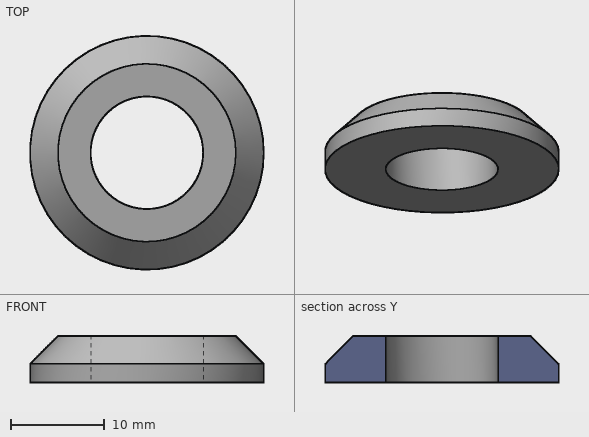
import cadquery as cq

outer_diameter = 25.0
hole_diameter = 12.0
thickness = 5.0
bevel_size = 3.0

ring = (
    cq.Workplane("XY")
    .circle(outer_diameter / 2)
    .circle(hole_diameter / 2)
    .extrude(thickness)
)

outer_top_edge = cq.selectors.RadiusNthSelector(-1)
result = ring.faces(">Z").edges(outer_top_edge).chamfer(bevel_size)